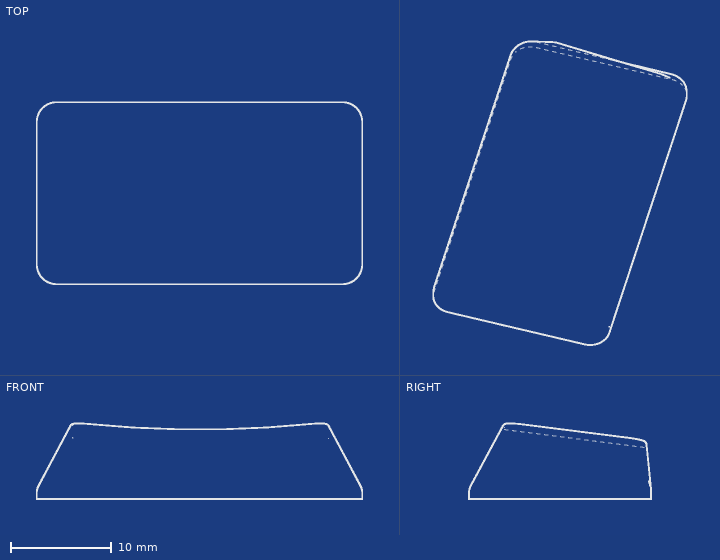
import cadquery as cq
import math

length = 32.45
width = 18.16
skirt_height = 1.0
skirt_corner_radius = 2.0
skirt_blend = 1.5

side_inset = 3.45
front_inset = 3.60
back_inset = 0.5
front_top_height = 7.71
top_tilt = math.radians(7.25)
top_corner_radius = 1.8
dish_radius = 105.0
rim_fillet = 0.35

overshoot = 1.25
cutter_margin = 10.0
edge_band = 0.1

top_half_length = length / 2 - side_inset
front_top_y = -width / 2 + front_inset
back_top_y = width / 2 - back_inset
back_top_height = front_top_height - (back_top_y - front_top_y) * math.tan(top_tilt)


def extend(start, end):
    """Carry a value changing from start to end on by the overshoot factor."""
    return start + (end - start) * overshoot


def rounded_rectangle(half_length, front_y, front_z, back_y, back_z, radius):
    """Rounded rectangle leaning about X, its front and back edges at their own heights."""
    corners = [
        cq.Vector(-half_length, front_y, front_z),
        cq.Vector(half_length, front_y, front_z),
        cq.Vector(half_length, back_y, back_z),
        cq.Vector(-half_length, back_y, back_z),
    ]
    outline = cq.Wire.makePolygon(corners, close=True)
    return outline.fillet2D(radius, outline.Vertices())


def make_flanks():
    """Leaning sides, ruled from the skirt outline to the tilted top outline."""
    bottom = rounded_rectangle(
        length / 2, -width / 2, skirt_height, width / 2, skirt_height, skirt_corner_radius
    )
    top = rounded_rectangle(
        extend(length / 2, top_half_length),
        extend(-width / 2, front_top_y),
        extend(skirt_height, front_top_height),
        extend(width / 2, back_top_y),
        extend(skirt_height, back_top_height),
        extend(skirt_corner_radius, top_corner_radius),
    )
    return cq.Workplane(obj=cq.Solid.makeLoft([bottom, top], True))


def make_dish_cutter():
    """Cylinder along the tilted top that meets it at the left and right rims."""
    axis_height = math.sqrt(dish_radius**2 - top_half_length**2)
    along = cq.Vector(0, math.cos(top_tilt), -math.sin(top_tilt))
    normal = cq.Vector(0, math.sin(top_tilt), math.cos(top_tilt))
    front_middle = cq.Vector(0, front_top_y, front_top_height)
    start = front_middle + normal * axis_height - along * cutter_margin
    cutter_length = width + 2 * cutter_margin
    return cq.Workplane(obj=cq.Solid.makeCylinder(dish_radius, cutter_length, start, along))


def make_body():
    """Skirt and flanks as one solid, blended into each other all the way round."""
    outline = cq.Sketch().rect(length, width).vertices().fillet(skirt_corner_radius)
    skirt = cq.Workplane("XY").placeSketch(outline).extrude(skirt_height)
    body = skirt.union(make_flanks())
    skirt_top_edges = cq.selectors.BoxSelector(
        (-length, -width, skirt_height - edge_band),
        (length, width, skirt_height + edge_band),
        boundingbox=True,
    )
    return body.edges(skirt_top_edges).fillet(skirt_blend)


def round_rim(body):
    """Round the edge where the dished top meets the flanks."""
    return body.faces("%CYLINDER").faces(">Z").edges().fillet(rim_fillet)


dished_body = make_body().cut(make_dish_cutter())
result = round_rim(dished_body)